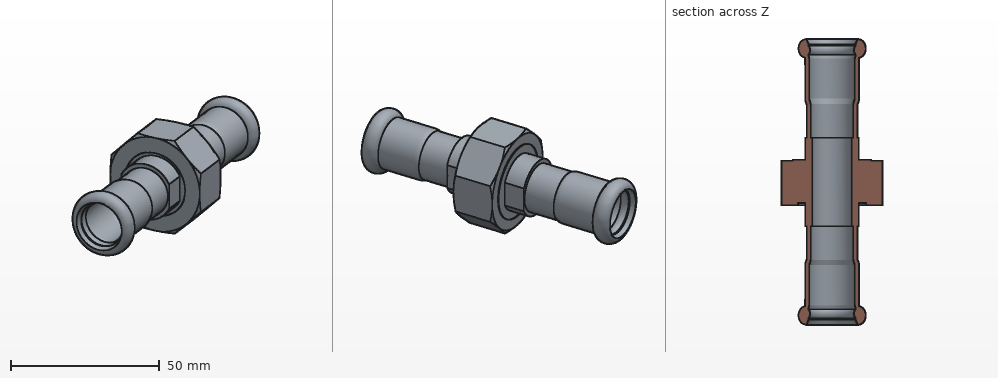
import cadquery as cq
import math

half_length = 48.05
tube_dia = 17.2
socket_dia = 18.3
bead_dia = 22.8
bead_width = 6.4
step_inner_y = 26.1
step_outer_y = 28.0

collar_bore = 13.2
tube_bore = 14.2
socket_bore = 15.3
lip_bore = 15.7
mouth_dia = 17.2
mouth_depth = 1.8
lip_land = 0.5
seal_width = 3.0
seal_bore = 14.7
lip_taper = 0.8

collar_dia = 20.2
collar_end_y = 14.9
collar_flats = 18.1

nut_sides = 8
nut_flats = 34.0
nut_front_y = -7.9
nut_back_y = 7.2
nut_chamfer_angle = 30.0
nut_bore = 22.9
nut_bore_depth = 0.8
disk_dia = 26.4
disk_height = 0.3


def cylinder(diameter, start_y, end_y):
    """Solid cylinder along Y between two stations."""
    disk = cq.Workplane("XZ", origin=(0, start_y, 0)).circle(diameter / 2)
    return disk.extrude(start_y - end_y)


def press_end_outside():
    """Outer body from the middle to the +Y end: tube, socket and rounded bead."""
    tube_radius = tube_dia / 2
    socket_radius = socket_dia / 2
    mouth_radius = mouth_dia / 2
    bead_middle_y = half_length - bead_width / 2
    step_height = socket_radius - tube_radius
    step_length = step_outer_y - step_inner_y
    step_arc_radius = (step_height**2 + step_length**2) / (2 * step_height)
    half_sweep = math.asin(step_length / step_arc_radius) / 2
    step_middle = (
        socket_radius - step_arc_radius * (1 - math.cos(half_sweep)),
        step_outer_y - step_arc_radius * math.sin(half_sweep),
    )
    profile = (
        cq.Workplane("XY")
        .lineTo(tube_radius, 0)
        .lineTo(tube_radius, step_inner_y)
        .threePointArc(step_middle, (socket_radius, step_outer_y))
        .lineTo(socket_radius, bead_middle_y)
        .lineTo(mouth_radius, bead_middle_y)
        .lineTo(mouth_radius, half_length)
        .lineTo(0, half_length)
        .close()
    )
    bead = (
        cq.Workplane("XY", origin=(mouth_radius, bead_middle_y, 0))
        .ellipse(bead_dia / 2 - mouth_radius, bead_width / 2)
        .revolve(360, (-mouth_radius, 0, 0), (-mouth_radius, 1, 0))
    )
    return profile.revolve(360, (0, 0, 0), (0, 1, 0)).union(bead)


def press_end_bore():
    """Stepped bore from the middle to the +Y end, with a rounded seal ring inside the bead."""
    lip_radius = lip_bore / 2
    lip_outer_y = half_length - mouth_depth
    seal_outer_y = lip_outer_y - lip_land
    seal_inner_y = seal_outer_y - seal_width
    lip_inner_y = seal_inner_y - lip_land
    profile = (
        cq.Workplane("XY")
        .lineTo(collar_bore / 2, 0)
        .lineTo(collar_bore / 2, collar_end_y)
        .lineTo(tube_bore / 2, collar_end_y)
        .lineTo(tube_bore / 2, step_inner_y)
        .lineTo(socket_bore / 2, step_outer_y)
        .lineTo(socket_bore / 2, lip_inner_y - lip_taper)
        .lineTo(lip_radius, lip_inner_y)
        .lineTo(lip_radius, seal_inner_y)
        .threePointArc((seal_bore / 2, seal_inner_y + seal_width / 2), (lip_radius, seal_outer_y))
        .lineTo(lip_radius, lip_outer_y)
        .lineTo(mouth_dia / 2, half_length)
        .lineTo(0, half_length)
        .close()
    )
    return profile.revolve(360, (0, 0, 0), (0, 1, 0))


def both_ends(end):
    """Join a +Y end with its mirror image at -Y."""
    return end.union(end.mirror("XZ"))


def collar():
    """Round collar cut by a pair of wrench flats facing -X and +X."""
    flats = cq.Workplane("XY").box(collar_flats, 2 * collar_end_y, 2 * collar_dia)
    return cylinder(collar_dia, -collar_end_y, collar_end_y).intersect(flats)


def nut():
    """Octagonal nut with conically chamfered corners, a clearance recess and a disk."""
    corner_radius = nut_flats / 2 / math.cos(math.pi / nut_sides)
    chamfer_height = (corner_radius - nut_flats / 2) * math.tan(math.radians(nut_chamfer_angle))
    octagon_turn = 180 / nut_sides
    octagon = (
        cq.Workplane("XZ", origin=(0, nut_front_y, 0))
        .transformed(rotate=(0, 0, octagon_turn))
        .polygon(nut_sides, 2 * corner_radius)
        .extrude(nut_front_y - nut_back_y)
    )
    cone_envelope = (
        cq.Workplane("XY")
        .moveTo(0, nut_front_y)
        .lineTo(nut_flats / 2, nut_front_y)
        .lineTo(corner_radius, nut_front_y + chamfer_height)
        .lineTo(corner_radius, nut_back_y - chamfer_height)
        .lineTo(nut_flats / 2, nut_back_y)
        .lineTo(0, nut_back_y)
        .close()
        .revolve(360, (0, 0, 0), (0, 1, 0))
    )
    recess = cylinder(nut_bore, nut_front_y, nut_front_y + nut_bore_depth)
    disk = cylinder(disk_dia, nut_back_y, nut_back_y + disk_height)
    return octagon.intersect(cone_envelope).cut(recess).union(disk)


body = both_ends(press_end_outside()).union(collar()).union(nut())
result = body.cut(both_ends(press_end_bore()))